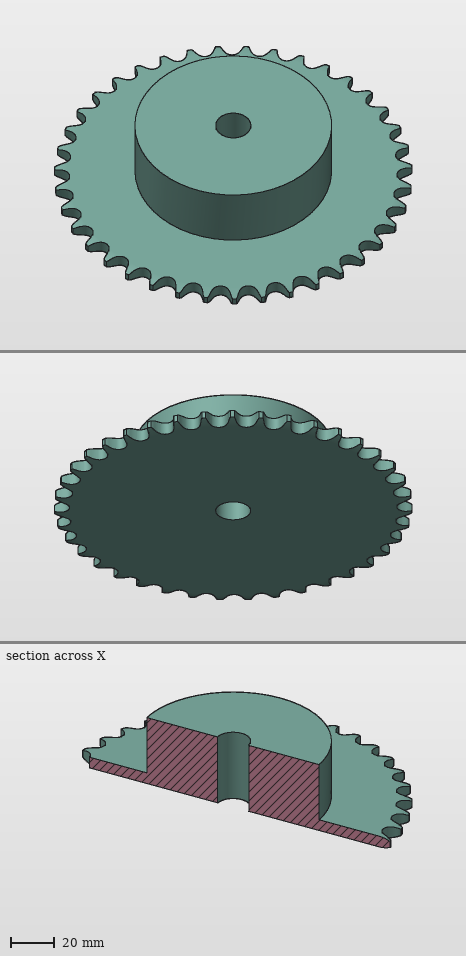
import cadquery as cq
import math

tooth_count = 39
tip_radius = 81.9
overall_height = 35.0
plate_thickness = 5.9
hub_diameter = 90.0
bore_diameter = 16.0

flat_face_radius = 76.3
side_round_radius = 12.8

pitch_radius = 78.9
roller_diameter = 7.9
seating_radius = 0.5025 * roller_diameter
working_radius = 1.3025 * roller_diameter
seating_angle = math.radians(35 + 60 / tooth_count)
working_angle = math.radians(18 - 56 / tooth_count)
topping_angle = math.radians(17 - 64 / tooth_count)
working_offset = 0.8 * roller_diameter
topping_offset = 1.4 * roller_diameter
flank_length = topping_offset * math.sin(topping_angle) - working_offset * math.sin(working_angle)
topping_radius = (
    working_offset * math.cos(working_angle) + topping_offset * math.cos(topping_angle) - working_radius
)

cut_overshoot = 0.2


def polar(centre, radius, angle):
    """Point at a distance and direction from a centre."""
    return (centre[0] + radius * math.cos(angle), centre[1] + radius * math.sin(angle))


def mirrored(point):
    """Point reflected across the gap's centre line."""
    return (-point[0], point[1])


def side_drop(run):
    """Depth of the side rounding at a distance outside the flat face."""
    return side_round_radius - math.sqrt(side_round_radius**2 - run**2)


def plate_blank():
    """Disc with both faces curving in towards the rim."""
    rim_run = tip_radius - flat_face_radius
    mid_run = rim_run / 2
    mid_radius = flat_face_radius + mid_run
    return (
        cq.Workplane("XZ")
        .lineTo(flat_face_radius, 0)
        .threePointArc((mid_radius, side_drop(mid_run)), (tip_radius, side_drop(rim_run)))
        .lineTo(tip_radius, plate_thickness - side_drop(rim_run))
        .threePointArc(
            (mid_radius, plate_thickness - side_drop(mid_run)),
            (flat_face_radius, plate_thickness),
        )
        .lineTo(0, plate_thickness)
        .close()
        .revolve(360, (0, 0, 0), (0, 1, 0))
    )


def tooth_gap():
    """Cutter for the gap on +Y: a roller seat, then a working arc, flank and topping arc per side."""
    roller_centre = (0, pitch_radius)
    seat_bottom = (0, pitch_radius - seating_radius)
    seat_end = polar(roller_centre, seating_radius, -seating_angle)

    working_centre = polar(roller_centre, seating_radius - working_radius, -seating_angle)
    working_mid = polar(working_centre, working_radius, working_angle / 2 - seating_angle)
    working_end = polar(working_centre, working_radius, working_angle - seating_angle)

    flank_angle = math.pi / 2 + working_angle - seating_angle
    flank_end = polar(working_end, flank_length, flank_angle)

    topping_centre = polar(flank_end, topping_radius, flank_angle - math.pi / 2)
    topping_start_angle = flank_angle + math.pi / 2
    topping_rise = tip_radius + cut_overshoot - topping_centre[1]
    topping_end_angle = math.pi - math.asin(topping_rise / topping_radius)
    topping_mid_angle = (topping_start_angle + topping_end_angle) / 2
    topping_mid = polar(topping_centre, topping_radius, topping_mid_angle)
    topping_end = polar(topping_centre, topping_radius, topping_end_angle)

    return (
        cq.Workplane("XY")
        .moveTo(*topping_end)
        .threePointArc(topping_mid, flank_end)
        .lineTo(*working_end)
        .threePointArc(working_mid, seat_end)
        .threePointArc(seat_bottom, mirrored(seat_end))
        .threePointArc(mirrored(working_mid), mirrored(working_end))
        .lineTo(*mirrored(flank_end))
        .threePointArc(mirrored(topping_mid), mirrored(topping_end))
        .close()
        .extrude(plate_thickness)
    )


def toothed_plate():
    """Plate with the gaps evenly spaced round the rim, starting on +Y."""
    gap = tooth_gap().val()
    origin = cq.Vector(0, 0, 0)
    z_axis = cq.Vector(0, 0, 1)
    gaps = [gap.rotate(origin, z_axis, index * 360 / tooth_count) for index in range(tooth_count)]
    return plate_blank().cut(cq.Workplane(cq.Compound.makeCompound(gaps)))


hub = cq.Workplane("XY").circle(hub_diameter / 2).extrude(overall_height)
bore = cq.Workplane("XY").circle(bore_diameter / 2).extrude(overall_height)

result = toothed_plate().union(hub).cut(bore)